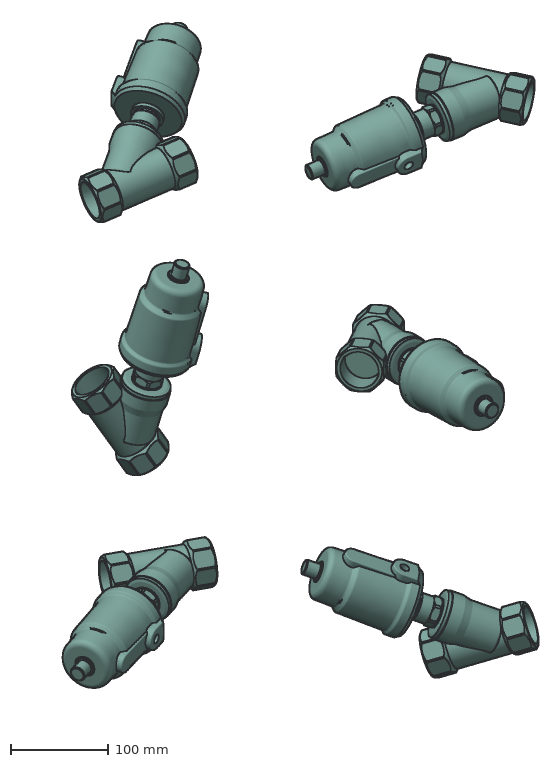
import cadquery as cq
import math


PIN_TOP = 219.3
PIN_COLLAR_TOP = 204.0
HOUSING_TOP = 202.5
HOUSING_BOTTOM = 100.5
COLLAR_BOTTOM = 96.0

PIPE_CENTRE = 14.7
PIPE_HALF_LENGTH = 56.8
PIPE_RADIUS = 22.8
END_FLATS = 50.0
END_CORNER_RADIUS = 26.7
END_FACE_RADIUS = 23.8
END_LENGTH = 26.2
BORE_RADIUS = 20.1
BORE_DEPTH = 25.0

BRANCH_RADIUS = 24.3
BRANCH_END = 2.4
BRANCH_END_FILLET = 3.7
BRANCH_CONE_BOTTOM = 39.8
BRANCH_CONE_TOP = 49.0
BRANCH_TOP_RADIUS = 26.7
BRANCH_TOP = 63.3
BRANCH_TOP_CHAMFER = 0.5
BONNET_FLANGE_RADIUS = 26.0
BONNET_FLANGE_TOP = 67.3
SHOULDER_RADIUS = 22.2
SHOULDER = 68.3
WASHER_RADIUS = 16.0
HEX_BOTTOM = 69.3
HEX_TOP = 78.8
HEX_FLATS = 29.8
HEX_CORNER_RADIUS = 16.5
TUBE_RADIUS = HEX_FLATS / 2
TUBE_SHOULDER = 91.8
TUBE_NECK_RADIUS = 14.0
TUBE_NECK_BOTTOM = 93.5

COLLAR_RADIUS = 17.3
FLANGE_RADIUS = 38.5
FLANGE_TOP = 114.0
FLANGE_BOTTOM = 104.5
BASE_FACE_RADIUS = 36.0
BASE_BEVEL_RADIUS = 44.5
BASE_BEVEL_TOP = 110.0
BARREL_BOTTOM_RADIUS = 35.3
BARREL_TOP_RADIUS = 33.8
BARREL_TOP = 171.5
CAP_BOTTOM_RADIUS = 29.3
CAP_TOP_RADIUS = 28.5
CAP_BOTTOM = 176.0
CAP_FILLET = 6.3
STEP_FILLET = 2.0

EAR_FACE = 41.9
EAR_RADIUS = 12.5
EAR_CENTRE = 124.3
EAR_HOLE_RADIUS = 5.0
EAR_HOLE_DEPTH = 6.8
STRIP_FACE = 35.5
STRIP_RADIUS = 10.5
STRIP_CENTRE = 178.0
PAD_FILLET = 1.3
PAD_ROOT = 23.5

PIN_RADIUS = 8.0
PIN_CHAMFER = 1.0
PIN_COLLAR_RADIUS = 11.3


def corner_arc(before, corner, after, radius):
    """Start, middle and end of the arc that rounds one corner of an outline."""
    corner = cq.Vector(*corner)
    to_before = (cq.Vector(*before) - corner).normalized()
    to_after = (cq.Vector(*after) - corner).normalized()
    half_angle = to_before.getAngle(to_after) / 2
    setback = radius / math.tan(half_angle)
    to_centre = (to_before + to_after).normalized()
    middle = corner + to_centre * (radius / math.sin(half_angle) - radius)
    return corner + to_before * setback, middle, corner + to_after * setback


def turned(outline, fillets=None):
    """Solid turned about the Y axis from (radius, y) points; fillets maps a point to its radius."""
    fillets = fillets or {}
    profile = cq.Workplane("XY").moveTo(*outline[0])
    for i in range(1, len(outline)):
        point = outline[i]
        if point in fillets:
            start, middle, end = corner_arc(outline[i - 1], point, outline[i + 1], fillets[point])
            profile = profile.lineTo(start.x, start.y).threePointArc(middle.toTuple()[:2], end.toTuple()[:2])
        else:
            profile = profile.lineTo(*point)
    return profile.close().revolve(360, (0, 0, 0), (0, 1, 0))


def polygon_prism(sides, flats, bottom, top):
    """Regular prism along Y with flats facing +X and -X."""
    prism = cq.Workplane("XZ", origin=(0, top, 0)).polygon(sides, flats, circumscribed=True)
    return prism.extrude(top - bottom)


def make_octagonal_end():
    """Outer end of the pipe, still lying along the Y axis."""
    inner = PIPE_HALF_LENGTH - END_LENGTH
    inner_chamfer = END_CORNER_RADIUS - PIPE_RADIUS
    outer_chamfer = END_CORNER_RADIUS - END_FACE_RADIUS
    octagon = polygon_prism(8, END_FLATS, inner, PIPE_HALF_LENGTH)
    envelope = turned([
        (0, inner),
        (PIPE_RADIUS, inner),
        (END_CORNER_RADIUS, inner + inner_chamfer),
        (END_CORNER_RADIUS, PIPE_HALF_LENGTH - outer_chamfer),
        (END_FACE_RADIUS, PIPE_HALF_LENGTH),
        (0, PIPE_HALF_LENGTH),
    ])
    return octagon.intersect(envelope)


def make_pipe():
    """Pipe with two octagonal, blind-bored ends, tilted and moved to its place."""
    pipe = turned([
        (0, -PIPE_HALF_LENGTH),
        (PIPE_RADIUS, -PIPE_HALF_LENGTH),
        (PIPE_RADIUS, PIPE_HALF_LENGTH),
        (0, PIPE_HALF_LENGTH),
    ])
    bore = turned([
        (0, PIPE_HALF_LENGTH - BORE_DEPTH),
        (BORE_RADIUS, PIPE_HALF_LENGTH - BORE_DEPTH),
        (BORE_RADIUS, PIPE_HALF_LENGTH),
        (0, PIPE_HALF_LENGTH),
    ])
    end = make_octagonal_end()
    for turn in (0, 180):
        pipe = pipe.union(end.rotate((0, 0, 0), (0, 0, 1), turn))
        pipe = pipe.cut(bore.rotate((0, 0, 0), (0, 0, 1), turn))
    return pipe.rotate((0, 0, 0), (0, 0, 1), -45).translate((PIPE_CENTRE, PIPE_CENTRE, 0))


def make_valve_body(bonnet):
    """Pipe with a recess that the lower end of the bonnet fills."""
    return make_pipe().cut(bonnet)


def make_bonnet_hexagon():
    """Hexagon whose corners are bevelled down to the tube at both ends."""
    bevel = HEX_CORNER_RADIUS - TUBE_RADIUS
    hexagon = polygon_prism(6, HEX_FLATS, HEX_BOTTOM, HEX_TOP)
    envelope = turned([
        (0, HEX_BOTTOM),
        (TUBE_RADIUS, HEX_BOTTOM),
        (HEX_CORNER_RADIUS, HEX_BOTTOM + bevel),
        (HEX_CORNER_RADIUS, HEX_TOP - bevel),
        (TUBE_RADIUS, HEX_TOP),
        (0, HEX_TOP),
    ])
    return hexagon.intersect(envelope)


def make_bonnet():
    """Solid branch rounded at its end in the pipe, then flange, hexagon and tube."""
    end_corner = (BRANCH_RADIUS, BRANCH_END)
    turned_part = turned([
        (0, BRANCH_END),
        end_corner,
        (BRANCH_RADIUS, BRANCH_CONE_BOTTOM),
        (BRANCH_TOP_RADIUS, BRANCH_CONE_TOP),
        (BRANCH_TOP_RADIUS, BRANCH_TOP - BRANCH_TOP_CHAMFER),
        (BRANCH_TOP_RADIUS - BRANCH_TOP_CHAMFER, BRANCH_TOP),
        (BONNET_FLANGE_RADIUS, BRANCH_TOP),
        (BONNET_FLANGE_RADIUS, BONNET_FLANGE_TOP),
        (SHOULDER_RADIUS, SHOULDER),
        (WASHER_RADIUS, SHOULDER),
        (WASHER_RADIUS, HEX_BOTTOM),
        (TUBE_RADIUS, HEX_BOTTOM),
        (TUBE_RADIUS, TUBE_SHOULDER),
        (TUBE_NECK_RADIUS, TUBE_NECK_BOTTOM),
        (TUBE_NECK_RADIUS, COLLAR_BOTTOM),
        (0, COLLAR_BOTTOM),
    ], {end_corner: BRANCH_END_FILLET})
    return turned_part.union(make_bonnet_hexagon())


def make_turned_housing():
    flange_slope_top = FLANGE_TOP + FLANGE_RADIUS - BARREL_BOTTOM_RADIUS
    flange_edge = (FLANGE_RADIUS, FLANGE_TOP)
    barrel_foot = (BARREL_BOTTOM_RADIUS, flange_slope_top)
    barrel_edge = (BARREL_TOP_RADIUS, BARREL_TOP)
    cap_foot = (CAP_BOTTOM_RADIUS, CAP_BOTTOM)
    cap_edge = (CAP_TOP_RADIUS, HOUSING_TOP)
    return turned([
        (0, COLLAR_BOTTOM),
        (COLLAR_RADIUS, COLLAR_BOTTOM),
        (COLLAR_RADIUS, HOUSING_BOTTOM),
        (FLANGE_RADIUS, HOUSING_BOTTOM),
        flange_edge,
        barrel_foot,
        barrel_edge,
        cap_foot,
        cap_edge,
        (0, HOUSING_TOP),
    ], {
        flange_edge: STEP_FILLET,
        barrel_foot: STEP_FILLET,
        barrel_edge: STEP_FILLET,
        cap_foot: STEP_FILLET,
        cap_edge: CAP_FILLET,
    })


def make_pad(face, half_width, round_centre, bottom):
    """Pad on the -X side with a round upper end and a rounded outer edge."""
    straight = cq.Workplane("YZ", origin=(-face, 0, 0)).center((round_centre + bottom) / 2, 0)
    pad = straight.rect(round_centre - bottom, 2 * half_width).extrude(face - PAD_ROOT)
    round_end = cq.Workplane("YZ", origin=(-face, 0, 0)).center(round_centre, 0)
    pad = pad.union(round_end.circle(half_width).extrude(face - PAD_ROOT))
    return pad.faces("<X").edges("not(<Y)").fillet(PAD_FILLET)


def make_base_bevel():
    """Cutter around the base: a curved flare that bevels the flange and trims the ear."""
    profile = cq.Workplane("XY").moveTo(BASE_FACE_RADIUS, HOUSING_BOTTOM)
    profile = profile.threePointArc((FLANGE_RADIUS, FLANGE_BOTTOM), (BASE_BEVEL_RADIUS, BASE_BEVEL_TOP))
    profile = profile.lineTo(BASE_BEVEL_RADIUS, HOUSING_BOTTOM).close()
    return profile.revolve(360, (0, 0, 0), (0, 1, 0))


def make_housing():
    strip = make_pad(STRIP_FACE, STRIP_RADIUS, STRIP_CENTRE, EAR_CENTRE)
    ear = make_pad(EAR_FACE, EAR_RADIUS, EAR_CENTRE, HOUSING_BOTTOM)
    hole = cq.Workplane("YZ", origin=(-EAR_FACE, EAR_CENTRE, 0)).circle(EAR_HOLE_RADIUS)
    housing = make_turned_housing().union(strip).union(ear)
    return housing.cut(make_base_bevel()).cut(hole.extrude(EAR_HOLE_DEPTH))


def make_pin():
    return turned([
        (0, HOUSING_TOP),
        (PIN_COLLAR_RADIUS, HOUSING_TOP),
        (PIN_COLLAR_RADIUS, PIN_COLLAR_TOP - PIN_CHAMFER),
        (PIN_COLLAR_RADIUS - PIN_CHAMFER, PIN_COLLAR_TOP),
        (PIN_RADIUS, PIN_COLLAR_TOP),
        (PIN_RADIUS, PIN_TOP - PIN_CHAMFER),
        (PIN_RADIUS - PIN_CHAMFER, PIN_TOP),
        (0, PIN_TOP),
    ])


bonnet = make_bonnet()
valve_body = make_valve_body(bonnet)
housing = make_housing()
pin = make_pin()

bodies = [valve_body, bonnet, housing, pin]
result = cq.Compound.makeCompound([body.solids().val() for body in bodies])